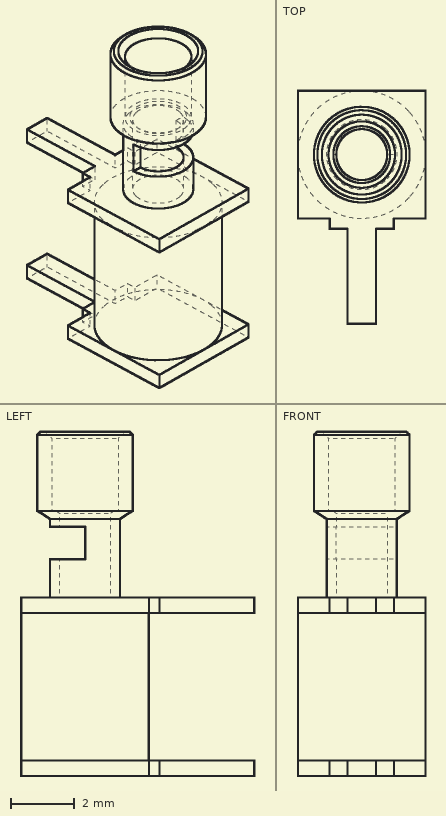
import cadquery as cq

total_height = 10.78
total_depth = 7.3

plate_size = 4.0
plate_thickness = 0.5
upper_plate_top = 5.6
shoulder_width = 2.0
shoulder_length = 0.32
tab_width = 0.91
tab_reach = total_depth - plate_size

stem_diameter = 2.2
head_diameter = 3.0
head_cone_bottom = 8.04
head_cone_top = 8.3
rim_chamfer = 0.11

mouth_diameter = 2.5
socket_diameter = 2.08
socket_floor = head_cone_top
bore_mouth_diameter = 1.78
bore_diameter = 1.6
bore_floor = upper_plate_top

window_bottom = 6.79
window_height = 1.0


def terminal_plate(bottom):
    """Square plate with a stepped tab pointing toward -Y."""
    half_plate = plate_size / 2
    tip = -half_plate - tab_reach
    shoulder = -half_plate - shoulder_length
    return (
        cq.Workplane("XY", origin=(0, 0, bottom))
        .moveTo(0, half_plate)
        .lineTo(half_plate, half_plate)
        .lineTo(half_plate, -half_plate)
        .lineTo(shoulder_width / 2, -half_plate)
        .lineTo(shoulder_width / 2, shoulder)
        .lineTo(tab_width / 2, shoulder)
        .lineTo(tab_width / 2, tip)
        .lineTo(0, tip)
        .mirrorY()
        .extrude(plate_thickness)
    )


def cylinder(diameter, bottom, top):
    return cq.Workplane("XY", origin=(0, 0, bottom)).circle(diameter / 2).extrude(top - bottom)


def head():
    """Round head with a chamfered rim and a cone down to the stem."""
    profile = [
        (0, head_cone_bottom),
        (stem_diameter / 2, head_cone_bottom),
        (head_diameter / 2, head_cone_top),
        (head_diameter / 2, total_height - rim_chamfer),
        (head_diameter / 2 - rim_chamfer, total_height),
        (0, total_height),
    ]
    return cq.Workplane("XZ").polyline(profile).close().revolve(360, (0, 0), (0, 1))


def socket():
    """Hollow of the head and stem, with 45 degree lead-ins at both mouths."""
    mouth_depth = (mouth_diameter - socket_diameter) / 2
    bore_mouth_depth = (bore_mouth_diameter - bore_diameter) / 2
    profile = [
        (0, bore_floor),
        (bore_diameter / 2, bore_floor),
        (bore_diameter / 2, socket_floor - bore_mouth_depth),
        (bore_mouth_diameter / 2, socket_floor),
        (socket_diameter / 2, socket_floor),
        (socket_diameter / 2, total_height - mouth_depth),
        (mouth_diameter / 2, total_height),
        (0, total_height),
    ]
    return cq.Workplane("XZ").polyline(profile).close().revolve(360, (0, 0), (0, 1))


def window():
    """Cutter that opens the +Y half of the stem."""
    return (
        cq.Workplane("XY", origin=(0, 0, window_bottom))
        .rect(stem_diameter, stem_diameter)
        .extrude(window_height)
        .translate((0, stem_diameter / 2, 0))
    )


upper_plate_bottom = upper_plate_top - plate_thickness

result = (
    terminal_plate(0)
    .union(cylinder(plate_size, plate_thickness, upper_plate_bottom))
    .union(terminal_plate(upper_plate_bottom))
    .union(cylinder(stem_diameter, upper_plate_top, head_cone_bottom))
    .union(head())
    .cut(socket())
    .cut(window())
)